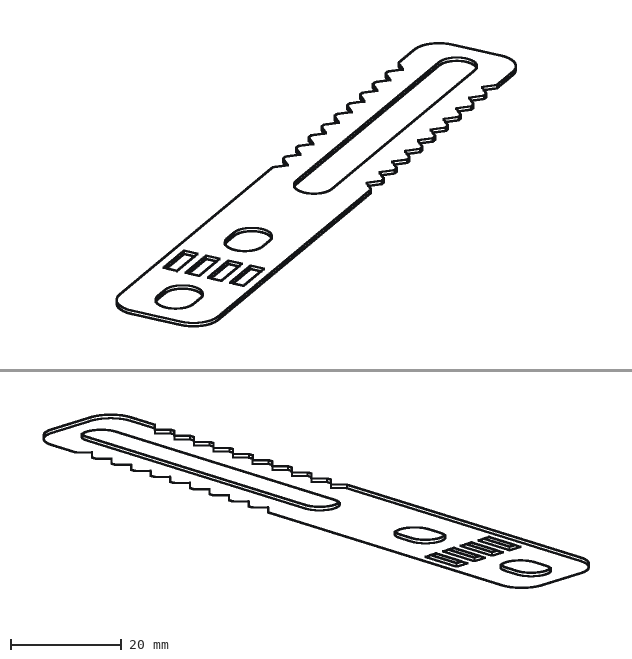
import cadquery as cq

length = 125.0
width = 20.0
thickness = 0.7
corner_radius = 5.0

slot_width = 7.2
long_slot_length = 63.0
long_slot_top_margin = 4.0
short_slot_length = 10.0

window_width = 2.8
window_height = 8.0
window_pitch = 4.5
window_count = 4
window_row_y = -40.0
short_slot_offset = 13.5

notch_count = 10
notch_pitch = 5.0
notch_depth = 2.0
notch_half_width = 2.0
first_notch_margin = 13.2


def make_plate():
    plate = cq.Workplane("XY").rect(width, length).extrude(thickness)
    return plate.edges("|Z").fillet(corner_radius)


def slot_cutter(slot_length, center_y):
    """Rounded slot lying along Y on the centre line."""
    return (
        cq.Workplane("XY")
        .center(0, center_y)
        .slot2D(slot_length, slot_width, 90)
        .extrude(thickness)
    )


def window_cutter():
    return (
        cq.Workplane("XY")
        .center(0, window_row_y)
        .rarray(window_pitch, 1.2, window_count, 1)
        .rect(window_width, window_height)
        .extrude(thickness)
    )


def notch_cutter(side, tip_y):
    """V notch in the edge at side = -1 (left) or +1 (right)."""
    edge_x = side * width / 2
    tip_x = edge_x - side * notch_depth
    return (
        cq.Workplane("XY")
        .moveTo(edge_x, tip_y + notch_half_width)
        .lineTo(tip_x, tip_y)
        .lineTo(edge_x, tip_y - notch_half_width)
        .close()
        .extrude(thickness)
    )


result = make_plate()

long_slot_y = length / 2 - long_slot_top_margin - long_slot_length / 2
result = result.cut(slot_cutter(long_slot_length, long_slot_y))

for direction in (-1, 1):
    short_slot_y = window_row_y + direction * short_slot_offset
    result = result.cut(slot_cutter(short_slot_length, short_slot_y))

result = result.cut(window_cutter())

for index in range(notch_count):
    notch_y = length / 2 - first_notch_margin - index * notch_pitch
    for side in (-1, 1):
        result = result.cut(notch_cutter(side, notch_y))